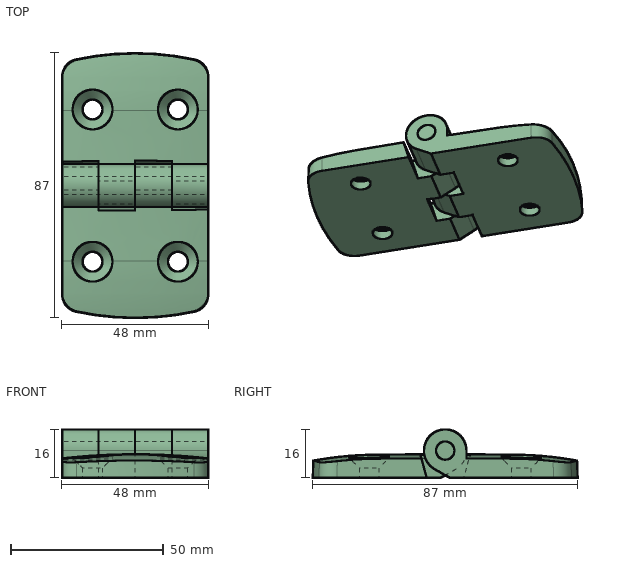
import cadquery as cq
import math

WIDTH = 48.0
LENGTH = 87.0
LEAF_REACH = LENGTH / 2

BARREL_DIAMETER = 14.0
BARREL_RADIUS = BARREL_DIAMETER / 2
AXIS_Z = 9.0
PIN_DIAMETER = 6.0
KNUCKLE_COUNT = 4
KNUCKLE_WIDTH = WIDTH / KNUCKLE_COUNT
UNDERSIDE_ANGLE = 30.0

POCKET_FOOT = 6.1
POCKET_WALL_ANGLE = 15.0

CROWN_RADIUS = 207.1
HEIGHT_AT_HINGE = 7.8
BEND_Y = 24.7
HEIGHT_AT_BEND = 7.65
HEIGHT_AT_END = 5.65
END_PROFILE_RADIUS = 113.1

END_ARC_RADIUS = 91.35
END_DRAFT_ANGLE = 2.0
CORNER_RADIUS = 6.0

HOLE_X = 14.0
HOLE_Y = 25.0
HOLE_DIAMETER = 6.4
HEAD_DIAMETER = 13.05
HEAD_SEAT_Z = 6.5
COUNTERSINK_ANGLE = 90.0


def leaf_plate():
    """Crowned plate from the foot of the pocket wall to the arched, drafted and rounded outer end."""
    height = 2 * HEIGHT_AT_HINGE
    draft_inset = height * math.tan(math.radians(END_DRAFT_ANGLE))
    end_cone = cq.Solid.makeCone(END_ARC_RADIUS, END_ARC_RADIUS - draft_inset, height)
    end_trim = cq.Workplane(obj=end_cone).translate((0, LEAF_REACH - END_ARC_RADIUS, 0))
    plate = (
        cq.Workplane("XY")
        .box(WIDTH, LEAF_REACH, height, centered=(True, False, False))
        .intersect(end_trim)
        .faces("<X or >X")
        .edges(">Y")
        .fillet(CORNER_RADIUS)
    )
    return plate.intersect(crown())


def crown():
    """Body of revolution about an axis along Y, whose upper side is the crowned top face."""
    axis_z = HEIGHT_AT_HINGE - CROWN_RADIUS
    return (
        cq.Workplane("YZ")
        .moveTo(POCKET_FOOT, axis_z)
        .lineTo(POCKET_FOOT, HEIGHT_AT_HINGE)
        .lineTo(BEND_Y, HEIGHT_AT_BEND)
        .radiusArc((LEAF_REACH, HEIGHT_AT_END), END_PROFILE_RADIUS)
        .lineTo(LEAF_REACH, axis_z)
        .close()
        .revolve(360, (0, axis_z), (1, axis_z))
    )


def segment(profile, index):
    """Extrude a YZ profile across one knuckle width; index 0 is the segment at the -X end."""
    return profile.extrude(KNUCKLE_WIDTH).translate((index * KNUCKLE_WIDTH - WIDTH / 2, 0, 0))


def knuckle(index):
    """Round knuckle with its arm, which is flat and sloping underneath, reaching the plate."""
    angle = math.radians(UNDERSIDE_ANGLE)
    tangent_y = -BARREL_RADIUS * math.sin(angle)
    tangent_z = AXIS_Z - BARREL_RADIUS * math.cos(angle)
    foot_y = tangent_y + tangent_z / math.tan(angle)
    profile = (
        cq.Workplane("YZ")
        .moveTo(BARREL_RADIUS, AXIS_Z)
        .threePointArc((0, AXIS_Z + BARREL_RADIUS), (-BARREL_RADIUS, AXIS_Z))
        .radiusArc((tangent_y, tangent_z), -BARREL_RADIUS)
        .lineTo(foot_y, 0)
        .lineTo(BARREL_RADIUS, 0)
        .close()
    )
    return segment(profile, index)


def knuckle_pocket(index):
    """Clearance for the other leaf's knuckle, ending in a leaning wall."""
    wall_top_z = 2 * HEIGHT_AT_HINGE
    wall_top_y = POCKET_FOOT + wall_top_z * math.tan(math.radians(POCKET_WALL_ANGLE))
    profile = (
        cq.Workplane("YZ")
        .polyline([(0, 0), (POCKET_FOOT, 0), (wall_top_y, wall_top_z), (0, wall_top_z)])
        .close()
    )
    return segment(profile, index)


def screw_holes():
    """Countersunk holes with a short straight recess above the cone."""
    hole_radius = HOLE_DIAMETER / 2
    head_radius = HEAD_DIAMETER / 2
    cone_depth = (head_radius - hole_radius) / math.tan(math.radians(COUNTERSINK_ANGLE / 2))
    one_hole = (
        cq.Workplane("XZ")
        .polyline([
            (0, 0),
            (hole_radius, 0),
            (hole_radius, HEAD_SEAT_Z - cone_depth),
            (head_radius, HEAD_SEAT_Z),
            (head_radius, AXIS_Z),
            (0, AXIS_Z),
        ])
        .close()
        .revolve(360, (0, 0), (0, 1))
        .val()
    )
    centres = [(-HOLE_X, HOLE_Y), (HOLE_X, HOLE_Y)]
    return cq.Workplane("XY").pushPoints(centres).eachpoint(lambda place: one_hole.moved(place))


def pin_cylinder():
    """Cylinder of the pin's size along the whole hinge axis."""
    return (
        cq.Workplane("YZ", origin=(-WIDTH / 2, 0, AXIS_Z))
        .circle(PIN_DIAMETER / 2)
        .extrude(WIDTH)
    )


def hinge_leaf():
    """Leaf on the +Y side; its knuckles alternate with the other leaf's."""
    leaf = leaf_plate()
    for index in range(0, KNUCKLE_COUNT, 2):
        leaf = leaf.cut(knuckle_pocket(index))
    for index in range(1, KNUCKLE_COUNT, 2):
        leaf = leaf.union(knuckle(index))
    return leaf.cut(screw_holes()).cut(pin_cylinder())


leaves = []
for turn in (0, 180):
    leaves.append(hinge_leaf().rotate((0, 0, 0), (0, 0, 1), turn).solids().val())

hinge_pin = pin_cylinder()

result = cq.Compound.makeCompound([*leaves, hinge_pin.val()])